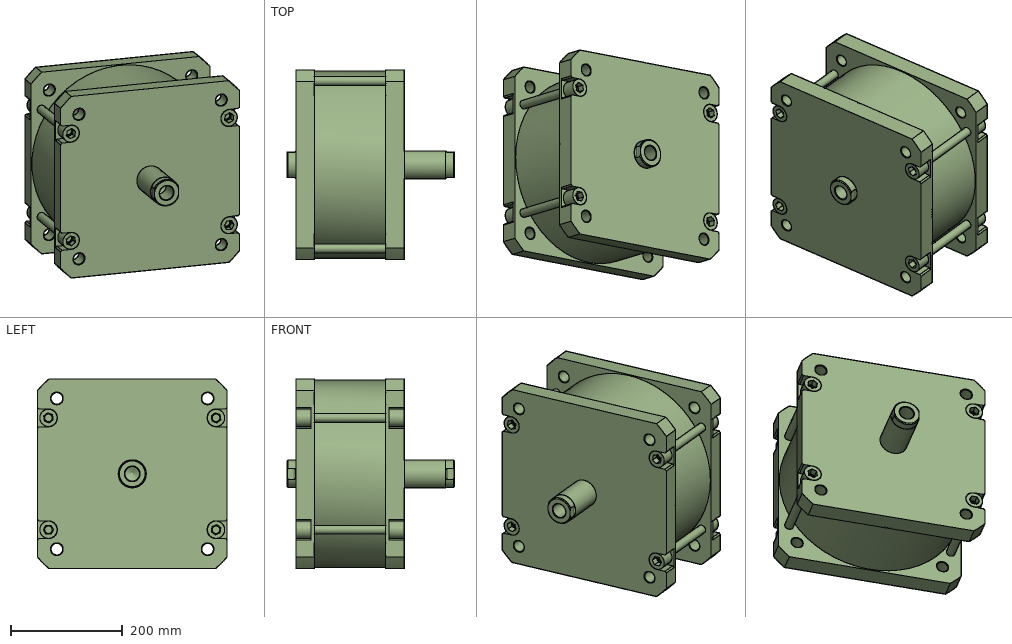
import cadquery as cq
import math

PLATE_SIDE = 340.0
PLATE_THICKNESS = 33.3
CORNER_CUT = 20.5
MOUNT_HOLE_DIAMETER = 20.7
MOUNT_HOLE_CHAMFER = 1.0
MOUNT_HOLE_SPACING = 270.3

BARREL_DIAMETER = 336.5
BARREL_LENGTH = 128.0

ROD_DIAMETER = 50.3
ROD_NECK_DIAMETER = 49.5
ROD_STICKOUT_SHORT = 15.5
ROD_STICKOUT_LONG = 89.8
ROD_CHAMFER = 1.7
FLAT_WIDTH = 45.5
FLAT_RUNOUT_RADIUS = 3.0
BORE_DIAMETER = 26.2
BORE_CHAMFER = 1.0
BORE_DEPTH = 40.8
BORE_TIP_ANGLE = 118.0

TIE_DIAMETER = 16.0
TIE_SPACING_Y = 300.5
TIE_SPACING_Z = 200.5
HEAD_DIAMETER = 31.0
SLOT_WIDTH = 32.0
HEAD_LENGTH = 27.5
MOUTH_CHAMFER = 2.7
SOCKET_WIDTH = 16.0
SOCKET_DEPTH = 13.5
SOCKET_TURNS = (38.0, 22.0, 0.0, 22.0)
PILOT_DIAMETER = 13.5
PILOT_DEPTH = 17.0

BARREL_END = BARREL_LENGTH / 2
PLATE_FACE = BARREL_END + PLATE_THICKNESS
ROD_START = -PLATE_FACE - ROD_STICKOUT_SHORT
ROD_END = PLATE_FACE + ROD_STICKOUT_LONG
NECK_LENGTH = ROD_STICKOUT_SHORT
FLAT_LENGTH = NECK_LENGTH - FLAT_RUNOUT_RADIUS


def corner_points(spacing_y, spacing_z):
    """The four (y, z) corners of a rectangle centred on the axis."""
    return [
        (y, z)
        for y in (-spacing_y / 2, spacing_y / 2)
        for z in (-spacing_z / 2, spacing_z / 2)
    ]


MOUNT_POINTS = corner_points(MOUNT_HOLE_SPACING, MOUNT_HOLE_SPACING)
TIE_POINTS = corner_points(TIE_SPACING_Y, TIE_SPACING_Z)


def section(x):
    """Workplane across the axis at x, with local axes Y and Z and normal +X."""
    return cq.Workplane("YZ", origin=(x, 0, 0))


def flip(body):
    """The same shape at the opposite end, mirrored in the plane X = 0."""
    return body.mirror("YZ")


def head_slot(y, z):
    """Open slot that lets a tie-rod head in from the side of the -X plate."""
    side = math.copysign(1, y)
    edge = side * PLATE_SIDE / 2
    radius = SLOT_WIDTH / 2
    mouth = radius + MOUTH_CHAMFER
    inner = edge - side * MOUTH_CHAMFER
    return (
        section(-PLATE_FACE)
        .moveTo(edge, z + mouth)
        .lineTo(inner, z + radius)
        .lineTo(y, z + radius)
        .threePointArc((y - side * radius, z), (y, z - radius))
        .lineTo(inner, z - radius)
        .lineTo(edge, z - mouth)
        .close()
        .extrude(HEAD_LENGTH)
    )


def mount_hole(y, z):
    """Cutter for a mounting hole through the -X plate, chamfered at both faces."""
    radius = MOUNT_HOLE_DIAMETER / 2
    mouth = radius + MOUNT_HOLE_CHAMFER
    inner_face = -BARREL_END
    return (
        cq.Workplane("XY")
        .polyline([
            (-PLATE_FACE, 0),
            (-PLATE_FACE, mouth),
            (-PLATE_FACE + MOUNT_HOLE_CHAMFER, radius),
            (inner_face - MOUNT_HOLE_CHAMFER, radius),
            (inner_face, mouth),
            (inner_face, 0),
        ])
        .close()
        .revolve(360, (0, 0, 0), (1, 0, 0))
        .translate((0, y, z))
    )


def make_end_plate():
    """The -X plate: turned corners, mounting holes, rod bore and tie-rod slots."""
    half_side = PLATE_SIDE / 2
    corner_radius = math.hypot(half_side, half_side - CORNER_CUT)
    plate = section(-PLATE_FACE).rect(PLATE_SIDE, PLATE_SIDE).extrude(PLATE_THICKNESS)
    plate = plate.intersect(section(-PLATE_FACE).circle(corner_radius).extrude(PLATE_THICKNESS))
    rod_hole = section(-PLATE_FACE).circle(ROD_DIAMETER / 2).extrude(PLATE_THICKNESS)
    tie_holes = section(-PLATE_FACE).pushPoints(TIE_POINTS).circle(TIE_DIAMETER / 2).extrude(PLATE_THICKNESS)
    plate = plate.cut(rod_hole).cut(tie_holes)
    for y, z in MOUNT_POINTS:
        plate = plate.cut(mount_hole(y, z))
    for y, z in TIE_POINTS:
        plate = plate.cut(head_slot(y, z))
    return plate


def make_barrel():
    """Drum between the plates, bored for the rod."""
    return section(-BARREL_END).circle(BARREL_DIAMETER / 2).circle(ROD_DIAMETER / 2).extrude(BARREL_LENGTH)


def wrench_flat(x_end, inward):
    """Cutter for the +Y flat at a rod end, with a concave run-out back to the round.

    inward is +1 or -1, the direction along X from the end into the rod.
    """
    flat_y = FLAT_WIDTH / 2
    top_y = flat_y + FLAT_RUNOUT_RADIUS
    x_flat = x_end + inward * FLAT_LENGTH
    x_top = x_flat + inward * FLAT_RUNOUT_RADIUS
    diagonal = FLAT_RUNOUT_RADIUS * math.sqrt(0.5)
    return (
        cq.Workplane("XY")
        .moveTo(x_end, flat_y)
        .lineTo(x_flat, flat_y)
        .threePointArc((x_flat + inward * diagonal, top_y - diagonal), (x_top, top_y))
        .lineTo(x_end, top_y)
        .close()
        .extrude(ROD_DIAMETER / 2, both=True)
    )


def rod_bore(x_end, inward):
    """Drilled hole with a chamfered mouth and a conical bottom in a rod end."""
    radius = BORE_DIAMETER / 2
    tip_depth = BORE_DEPTH + radius / math.tan(math.radians(BORE_TIP_ANGLE / 2))
    return (
        cq.Workplane("XY")
        .polyline([
            (x_end, 0),
            (x_end, radius + BORE_CHAMFER),
            (x_end + inward * BORE_CHAMFER, radius),
            (x_end + inward * BORE_DEPTH, radius),
            (x_end + inward * tip_depth, 0),
        ])
        .close()
        .revolve(360, (0, 0, 0), (1, 0, 0))
    )


def make_rod():
    """Piston rod with chamfers, two wrench flats and a drilled hole at each end."""
    rod = section(ROD_START).circle(ROD_NECK_DIAMETER / 2).extrude(ROD_END - ROD_START)
    rod = rod.faces("<X or >X").chamfer(ROD_CHAMFER)
    main_length = ROD_END - ROD_START - 2 * NECK_LENGTH
    rod = rod.union(section(ROD_START + NECK_LENGTH).circle(ROD_DIAMETER / 2).extrude(main_length))
    for x_end, inward in ((ROD_START, 1), (ROD_END, -1)):
        flat = wrench_flat(x_end, inward)
        rod = rod.cut(flat).cut(flat.mirror("XZ")).cut(rod_bore(x_end, inward))
    return rod


def make_tie_rod(y, z, socket_turn):
    """Round tie rod with a hex-socket head flush with the outer face of each plate."""
    socket_corner_diameter = SOCKET_WIDTH / math.cos(math.pi / 6)
    shank = section(-PLATE_FACE).center(y, z).circle(TIE_DIAMETER / 2).extrude(2 * PLATE_FACE)
    head = section(-PLATE_FACE).center(y, z).circle(HEAD_DIAMETER / 2).extrude(HEAD_LENGTH)
    socket = (
        section(-PLATE_FACE)
        .center(y, z)
        .transformed(rotate=(0, 0, socket_turn))
        .polygon(6, socket_corner_diameter)
        .extrude(SOCKET_DEPTH)
    )
    pilot = section(-PLATE_FACE).center(y, z).circle(PILOT_DIAMETER / 2).extrude(PILOT_DEPTH)
    socket = socket.union(pilot)
    tie_rod = shank.union(head).union(flip(head))
    return tie_rod.cut(socket).cut(flip(socket))


left_plate = make_end_plate()
right_plate = flip(left_plate)
barrel = make_barrel()
rod = make_rod()
tie_rods = [make_tie_rod(y, z, turn) for (y, z), turn in zip(TIE_POINTS, SOCKET_TURNS)]

result = cq.Compound.makeCompound([
    left_plate.val(),
    right_plate.val(),
    barrel.val(),
    rod.val(),
    *[tie_rod.val() for tie_rod in tie_rods],
])